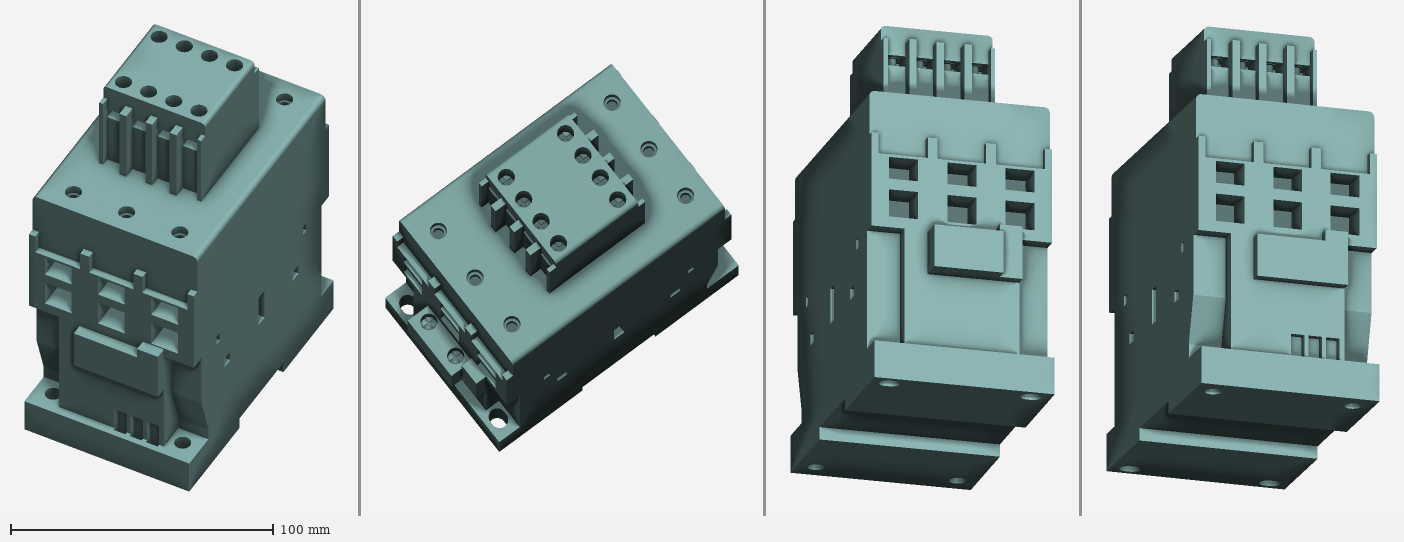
import cadquery as cq

width = 71.6
base_depth = 114.9
base_height = 14.8
rail_notch_width = 35.0
rail_notch_height = 5.0
mount_hole_diameter = 6.5
mount_hole_x = 28.1
front_hole_y = -48.5
rear_slot_y = 52.0
rear_slot_length = 8.1

housing_depth = 107.7
housing_top = 118.0
cover_depth = 101.7
housing_round = 2.2
shelf_z = 91.9
fin_top = 100.2
fin_pitch = 23.1
fin_width = 3.9
end_fin_width = 2.8

neck_width = 45.5
recess_top = 62.4
recess_y = 47.6
recess_slope_top = 38.4
recess_slope_bottom = 20.3
recess_foot_y = 42.1

window_width = 11.5
window_depth = 12.5
upper_window_z = (82.1, 90.8)
lower_window_z = (66.8, 77.7)
pole_hole_y = 41.7
pole_hole_diameter = 6.5
pole_hole_depth = 3.6
pole_core_diameter = 4.4
pole_core_depth = 3.1

block_bottom = 45.0
block_top = 61.8
block_half_width = 13.7
tab_top = 66.2
front_block_y = -58.5
rear_tab_y = 58.5
rear_block_y = 63.5
coil_screw_x = 8.5
coil_screw_y = 57.5
coil_hole_depth = 3.1

vent_width = 5.3
vent_pitch = 7.0
vent_middle_x = 11.1
vent_z = (9.8, 24.7)
vent_y = (-55.0, -50.7)

top_z = 156.0
aux_width = 44.3
aux_depth = 39.3
aux_round = 1.9
rib_top = 150.0
rib_pitch = 11.0
rib_width = 3.0
outer_rib_depth = 49.3
middle_rib_depth = 48.0
cheek_thickness = 1.7
cheek_depth = 45.9
wire_slot_z = (140.3, 144.5)
wire_slot_depth = 9.4
aux_screw_y = 14.2

screw_hole_diameter = 6.5
screw_head_diameter = 5.6
screw_head_height = 3.1
screw_shank_diameter = 3.5
cross_width = 1.1
cross_depth = 1.0

pocket_depth = 6.2
side_pockets = [
    (0, 5.0, 41.7, 55.9),
    (27.2, 4.7, 42.1, 46.5),
    (34.5, 2.8, 59.6, 63.5),
]

overlap = 1.5


def box(x0, x1, y0, y1, z0, z1):
    return cq.Workplane("XY").box(x1 - x0, y1 - y0, z1 - z0, centered=False).translate((x0, y0, z0))


def centred_box(x, y, size_x, size_y, z0, z1):
    return box(x - size_x / 2, x + size_x / 2, y - size_y / 2, y + size_y / 2, z0, z1)


def cylinder(x, y, diameter, z0, z1):
    return cq.Workplane("XY", origin=(x, y, z0)).circle(diameter / 2).extrude(z1 - z0)


def screw_recess(x, y, surface_z, head_z):
    """Cutter for a round hole that leaves a cross-head screw standing at its bottom."""
    hole = cylinder(x, y, screw_hole_diameter, head_z - screw_head_height, surface_z)
    head = cylinder(x, y, screw_head_diameter, head_z - screw_head_height, head_z)
    for size_x, size_y in ((screw_head_diameter, cross_width), (cross_width, screw_head_diameter)):
        head = head.cut(centred_box(x, y, size_x, size_y, head_z - cross_depth, head_z))
    return hole.cut(head)


def make_base():
    base = centred_box(0, 0, width, base_depth, 0, base_height)
    base = base.cut(centred_box(0, 0, width, rail_notch_width, 0, rail_notch_height))
    for x in (-mount_hole_x, mount_hole_x):
        base = base.cut(cylinder(x, front_hole_y, mount_hole_diameter, 0, base_height))
        slot = cq.Workplane("XY", origin=(x, rear_slot_y, 0))
        base = base.cut(slot.slot2D(rear_slot_length, mount_hole_diameter).extrude(base_height))
    return base


def recess_cutter(profile):
    """Cut both corners outside the neck to a (Y, Z) profile."""
    cutter = cq.Workplane("YZ").polyline(profile).close().extrude(width / 2, both=True)
    return cutter.cut(centred_box(0, 0, neck_width, base_depth, 0, housing_top))


def make_housing():
    face_y = housing_depth / 2
    cover = centred_box(0, 0, width, cover_depth, base_height, housing_top)
    cover = cover.edges("|Y and >Z").fillet(housing_round)
    housing = cover.union(centred_box(0, 0, width, housing_depth, base_height, shelf_z))

    end_fin_x = (width - end_fin_width) / 2
    fins = [(-end_fin_x, end_fin_width), (end_fin_x, end_fin_width)]
    fins += [(side * fin_pitch / 2, fin_width) for side in (-1, 1)]
    for x, size in fins:
        housing = housing.union(centred_box(x, 0, size, housing_depth, base_height, fin_top))

    front_profile = [
        (-face_y, base_height),
        (-recess_foot_y, base_height),
        (-recess_foot_y, recess_slope_bottom),
        (-recess_y, recess_slope_top),
        (-recess_y, recess_top),
        (-face_y, recess_top),
    ]
    rear_profile = [
        (face_y, base_height),
        (recess_y, base_height),
        (recess_y, recess_top),
        (face_y, recess_top),
    ]
    return housing.cut(recess_cutter(front_profile)).cut(recess_cutter(rear_profile))


def cut_pole_openings(body):
    for x in (-fin_pitch, 0, fin_pitch):
        for side in (-1, 1):
            window_y = side * (housing_depth - window_depth) / 2
            for z0, z1 in (upper_window_z, lower_window_z):
                body = body.cut(centred_box(x, window_y, window_width, window_depth, z0, z1))
            y = side * pole_hole_y
            floor_z = housing_top - pole_hole_depth
            body = body.cut(cylinder(x, y, pole_hole_diameter, floor_z, housing_top))
            body = body.cut(cylinder(x, y, pole_core_diameter, floor_z - pole_core_depth, floor_z))
    return body


def add_raised_blocks(body):
    inner_y = housing_depth / 2 - overlap
    tab_x = neck_width / 2
    body = body.union(
        box(-block_half_width, tab_x, front_block_y, -inner_y, block_bottom, block_top)
    )
    body = body.union(box(block_half_width, tab_x, front_block_y, -inner_y, block_bottom, tab_top))
    body = body.union(box(-tab_x, -block_half_width, inner_y, rear_tab_y, block_bottom, tab_top))
    body = body.union(
        box(-block_half_width, block_half_width, inner_y, rear_block_y, block_bottom, block_top)
    )
    for x in (-coil_screw_x, coil_screw_x):
        body = body.cut(screw_recess(x, coil_screw_y, block_top, block_top - coil_hole_depth))
    return body


def cut_vents(body):
    for step in (-1, 0, 1):
        x = vent_middle_x + step * vent_pitch
        body = body.cut(box(x - vent_width / 2, x + vent_width / 2, *vent_y, *vent_z))
    return body


def cut_side_pockets(body):
    pocket_x = (width - pocket_depth) / 2
    for distance, size, z0, z1 in side_pockets:
        for y in {-distance, distance}:
            for x in (-pocket_x, pocket_x):
                body = body.cut(centred_box(x, y, pocket_depth, size, z0, z1))
    return body


def make_auxiliary_block():
    root_z = housing_top - overlap
    block = centred_box(0, 0, aux_width, aux_depth, root_z, top_z)
    block = block.edges("|Y and >Z").fillet(aux_round)

    slot_floor, slot_ceiling = wire_slot_z
    for side in (-1, 1):
        slot_y = side * (aux_depth - wire_slot_depth) / 2
        slot_width = aux_width - 2 * cheek_thickness
        block = block.cut(centred_box(0, slot_y, slot_width, wire_slot_depth, *wire_slot_z))
        for column in (-1.5, -0.5, 0.5, 1.5):
            x = column * rib_pitch
            y = side * aux_screw_y
            head_z = slot_ceiling + screw_head_height
            block = block.cut(screw_recess(x, y, top_z, head_z))
            block = block.union(cylinder(x, y, screw_shank_diameter, slot_floor, slot_ceiling))

    cheek_x = (aux_width - cheek_thickness) / 2
    barriers = [
        (-cheek_x, cheek_thickness, cheek_depth),
        (-rib_pitch, rib_width, outer_rib_depth),
        (0, rib_width, middle_rib_depth),
        (rib_pitch, rib_width, outer_rib_depth),
        (cheek_x, cheek_thickness, cheek_depth),
    ]
    for x, thickness, depth in barriers:
        for side in (-1, 1):
            reach = (depth - aux_depth) / 2 + wire_slot_depth
            y = side * (depth - reach) / 2
            block = block.union(centred_box(x, y, thickness, reach, root_z, rib_top))
    return block


body = make_base().union(make_housing())
body = add_raised_blocks(body)
body = cut_pole_openings(body)
body = cut_vents(body)
body = cut_side_pockets(body)
result = body.union(make_auxiliary_block())